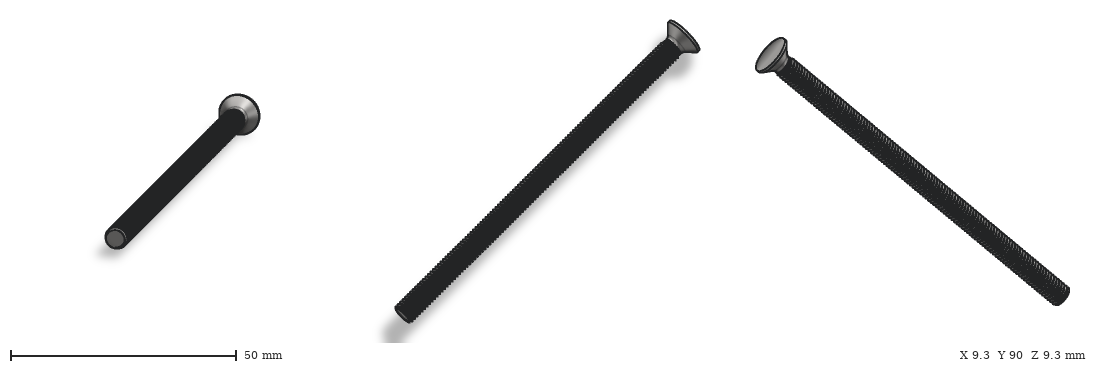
import cadquery as cq
import math

total_length = 90.0

head_radius = 9.3 / 2
head_rim = 0.6
neck_radius = 2.25
neck_fillet_radius = 1.35
neck_length = 0.7

thread_radius = 5.0 / 2
root_radius = 4.05 / 2
threads_per_length = 112.5
pitch = total_length / threads_per_length
crest_width = pitch / 8
root_width = pitch / 4
winding_start = 2.5
flank_width = (pitch - crest_width - root_width) / 2
tip_chamfer = 0.3
clearance = 0.2

cone_angle = math.radians(45)
cone_end = head_rim + (head_radius - neck_radius) / math.tan(cone_angle)
fillet_tangent = neck_fillet_radius * math.tan(cone_angle / 2)
thread_start = cone_end + fillet_tangent
ridge_start = thread_start + neck_length
turns = math.ceil((total_length - winding_start) / pitch) + 1


def head():
    """Countersunk head with its face at Z = 0, filleted into the neck."""
    fillet_start = cone_end - fillet_tangent * math.cos(cone_angle)
    fillet_start_radius = neck_radius + fillet_tangent * math.sin(cone_angle)
    return (
        cq.Workplane("XZ")
        .moveTo(0, 0)
        .lineTo(head_radius, 0)
        .lineTo(head_radius, head_rim)
        .lineTo(fillet_start_radius, fillet_start)
        .tangentArcPoint((neck_radius, thread_start), relative=False)
        .lineTo(0, thread_start)
        .close()
        .revolve(360, (0, 0), (0, 1))
    )


def helix_turn(radius, height):
    """One right-handed turn of a helix that starts at the given height."""
    return cq.Wire.makeHelix(pitch, pitch, radius, cq.Vector(0, 0, height)).Edges()[0]


def threaded_bar():
    """Bar of whole thread turns, sewn from helical strips; each end is a radial helicoid with a step."""
    profile = [
        (root_radius, 0),
        (root_radius, root_width),
        (thread_radius, root_width + flank_width),
        (thread_radius, root_width + flank_width + crest_width),
        (root_radius, pitch),
    ]
    helices = [helix_turn(radius, height) for radius, height in profile]
    strips = [cq.Face.makeRuledSurface(low, high) for low, high in zip(helices, helices[1:])]

    axis_step = cq.Edge.makeLine(cq.Vector(0, 0, 0), cq.Vector(0, 0, pitch))
    helicoid = cq.Face.makeRuledSurface(axis_step, helices[0])
    step_points = [(0, 0)] + profile + [(0, pitch)]
    step = cq.Face.makeFromWires(
        cq.Wire.makePolygon([cq.Vector(radius, 0, height) for radius, height in step_points], close=True)
    )

    bar_top = cq.Vector(0, 0, turns * pitch)
    faces = [helicoid, step, helicoid.translate(bar_top), step.translate(bar_top)]
    for turn in range(turns):
        faces += [strip.translate(cq.Vector(0, 0, turn * pitch)) for strip in strips]
    return cq.Solid.makeSolid(cq.Shell.makeShell(faces))


def shank():
    """Threaded bar cut to length, turned down at the neck and chamfered at the tip."""
    outer_radius = thread_radius + clearance
    envelope = [
        (0, thread_start),
        (neck_radius, thread_start),
        (neck_radius, ridge_start),
        (outer_radius, ridge_start + outer_radius - neck_radius),
        (outer_radius, total_length - tip_chamfer - clearance),
        (thread_radius - tip_chamfer, total_length),
        (0, total_length),
    ]
    bar = threaded_bar().translate(cq.Vector(0, 0, winding_start))
    envelope_solid = cq.Workplane("XZ").polyline(envelope).close().revolve(360, (0, 0), (0, 1))
    return cq.Workplane(bar).intersect(envelope_solid)


screw = head().union(shank())
result = screw.rotate((0, 0, 0), (1, 0, 0), 90).translate((0, total_length / 2, 0))